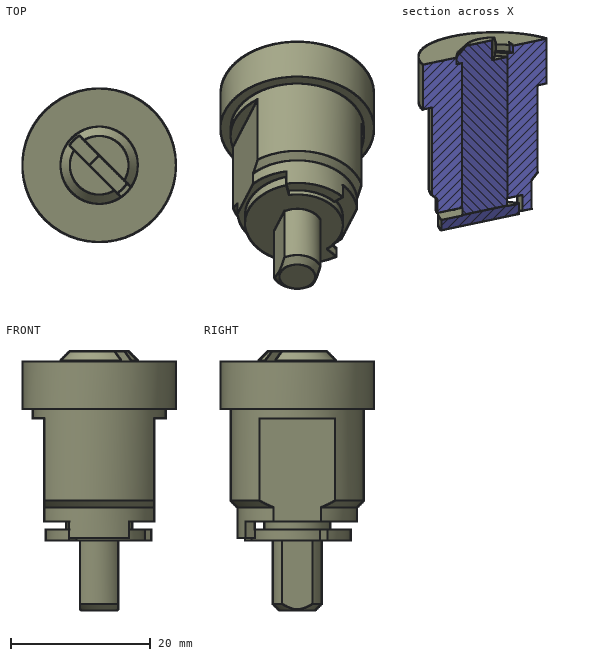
import cadquery as cq
import math

TOTAL_HEIGHT = 37.1
HEAD_TOP = 35.6
HEAD_BOTTOM = 28.8
FLAT_TOP = 27.45
BARREL_CHAMFER_TOP = 15.7
BARREL_BOTTOM = 12.73
CAM_TOP = 11.6
STOP_BOTTOM = 10.35
CAM_BOTTOM = 9.98

HEAD_RADIUS = 22.0 / 2
BARREL_RADIUS = 9.55
NECK_RADIUS = 8.57
BARREL_FLAT_SPACING = 15.75
STOP_INNER_RADIUS = 7.0
STOP_START = 240.0
STOP_END = 300.0

CAP_RADIUS = 5.53
CAP_BOTTOM = 34.6
CAP_CHAMFER = 1.35
JOURNAL_RADIUS = 4.75
SHAFT_RADIUS = 3.52
SHAFT_FLAT_SPACING = 5.5
SHAFT_CHAMFER = 0.95
SLOT_WIDTH = 2.0
SHALLOW_SLOT_DEPTH = 0.93
DEEP_SLOT_DEPTH = 3.0
SLOT_STEP = -1.0
SLOT_ANGLE = -45.0

CAM_HUB_RADIUS = 6.53
LOBE_RADIUS = 8.42
LOBE_OFFSET = 0.75
LOBE_START = 30.0
LOBE_END = STOP_START


def cylinder(radius, bottom, top):
    return cq.Workplane("XY").workplane(offset=bottom).circle(radius).extrude(top - bottom)


def sector(start, end, bottom, top):
    """Pie slice about Z, large enough to reach beyond every body."""
    def rim_point(angle):
        reach = 2 * HEAD_RADIUS
        return reach * math.cos(math.radians(angle)), reach * math.sin(math.radians(angle))

    return (
        cq.Workplane("XY").workplane(offset=bottom)
        .lineTo(*rim_point(start))
        .threePointArc(rim_point((start + end) / 2), rim_point(end))
        .close()
        .extrude(top - bottom)
    )


def between_flats(spacing, bottom, top):
    """Slab between two planes facing -X and +X."""
    return (
        cq.Workplane("XY").workplane(offset=bottom)
        .rect(spacing, 4 * HEAD_RADIUS)
        .extrude(top - bottom)
    )


def flatted_shaft(bottom, top):
    slab = between_flats(SHAFT_FLAT_SPACING, bottom, top)
    return cylinder(SHAFT_RADIUS, bottom, top).intersect(slab)


def make_housing():
    chamfer_bottom = BARREL_CHAMFER_TOP - (BARREL_RADIUS - NECK_RADIUS)
    body = (
        cq.Workplane("XZ")
        .moveTo(0, BARREL_BOTTOM)
        .lineTo(NECK_RADIUS, BARREL_BOTTOM)
        .lineTo(NECK_RADIUS, chamfer_bottom)
        .lineTo(BARREL_RADIUS, BARREL_CHAMFER_TOP)
        .lineTo(BARREL_RADIUS, HEAD_BOTTOM)
        .lineTo(HEAD_RADIUS, HEAD_BOTTOM)
        .lineTo(HEAD_RADIUS, HEAD_TOP)
        .lineTo(0, HEAD_TOP)
        .close()
        .revolve(360, (0, 0, 0), (0, 1, 0))
    )
    flatted = body.intersect(between_flats(BARREL_FLAT_SPACING, BARREL_BOTTOM, FLAT_TOP))
    above_flats = body.intersect(cylinder(HEAD_RADIUS, FLAT_TOP, HEAD_TOP))
    stop = (
        cylinder(NECK_RADIUS, STOP_BOTTOM, BARREL_BOTTOM)
        .cut(cylinder(STOP_INNER_RADIUS, STOP_BOTTOM, BARREL_BOTTOM))
        .intersect(sector(STOP_START, STOP_END, STOP_BOTTOM, BARREL_BOTTOM))
    )
    bore = cylinder(JOURNAL_RADIUS, BARREL_BOTTOM, HEAD_TOP)
    cap_seat = cylinder(CAP_RADIUS, CAP_BOTTOM, HEAD_TOP)
    return flatted.union(above_flats).union(stop).cut(bore).cut(cap_seat)


def slot_part(depth, direction):
    """Part of the screwdriver slot on one side of its step, open at the rim."""
    length = 2 * CAP_RADIUS
    return (
        cq.Workplane("XY").workplane(offset=TOTAL_HEIGHT - depth)
        .center(SLOT_STEP + direction * length / 2, 0)
        .rect(length, SLOT_WIDTH)
        .extrude(depth)
        .rotate((0, 0, 0), (0, 0, 1), SLOT_ANGLE)
    )


def make_spindle():
    cap = cylinder(CAP_RADIUS, CAP_BOTTOM, TOTAL_HEIGHT).faces(">Z").chamfer(CAP_CHAMFER)
    journal = cylinder(JOURNAL_RADIUS, CAM_TOP, CAP_BOTTOM)
    round_shaft = cylinder(SHAFT_RADIUS, 0, CAM_TOP).faces("<Z").chamfer(SHAFT_CHAMFER)
    shaft = round_shaft.intersect(between_flats(SHAFT_FLAT_SPACING, 0, CAM_TOP))
    spindle = cap.union(journal).union(shaft)
    return spindle.cut(slot_part(DEEP_SLOT_DEPTH, 1)).cut(slot_part(SHALLOW_SLOT_DEPTH, -1))


def make_cam():
    lobe = (
        cylinder(LOBE_RADIUS, CAM_BOTTOM, CAM_TOP)
        .translate((LOBE_OFFSET, -LOBE_OFFSET, 0))
        .intersect(sector(LOBE_START, LOBE_END, CAM_BOTTOM, CAM_TOP))
    )
    hub = cylinder(CAM_HUB_RADIUS, CAM_BOTTOM, CAM_TOP)
    return hub.union(lobe).cut(flatted_shaft(CAM_BOTTOM, CAM_TOP))


housing = make_housing()
spindle = make_spindle()
cam = make_cam()

result = cq.Compound.makeCompound([housing.solids().val(), spindle.solids().val(), cam.solids().val()])